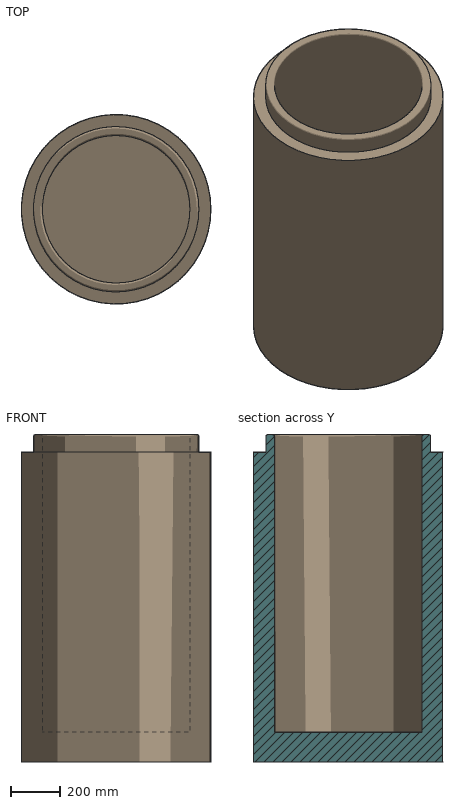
import cadquery as cq

total_height = 1324
body_diameter = 767.0
floor_thickness = 120.0

neck_height = 71.0
neck_diameter = 669.0
bore_diameter = 596
rim_rounding = 9.0

shoulder_height = total_height - neck_height
bore_depth = total_height - floor_thickness

body = cq.Workplane("XY").circle(body_diameter / 2).extrude(shoulder_height)
neck = cq.Workplane("XY", origin=(0, 0, shoulder_height)).circle(neck_diameter / 2).extrude(neck_height)

bore = cq.Workplane("XY", origin=(0, 0, floor_thickness)).circle(bore_diameter / 2).extrude(bore_depth)
container = body.union(neck).cut(bore)

result = container.faces(">Z").edges().fillet(rim_rounding)